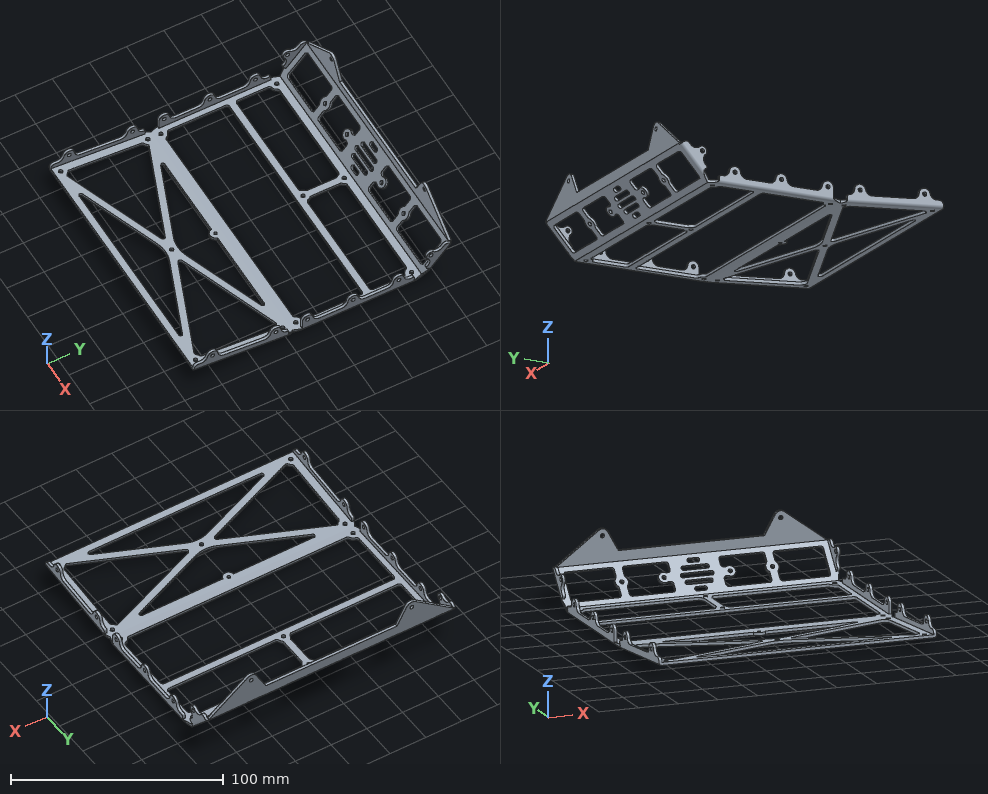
import cadquery as cq
import math

width = 140.0
depth = 139.2
height = 34.2
sheet = 1.5
plate_half = width / 2 - sheet

ramp_run = 14.4
ramp_rise = 16.1
floor_length = 69.3
front_angle = math.radians(5)
ramp_angle = math.atan2(ramp_rise, ramp_run)
ramp_length = math.hypot(ramp_run, ramp_rise)
back_y = ramp_run + sheet
front_y = back_y - depth
front_top_y = front_y + sheet * math.sin(front_angle)
front_length = (-floor_length - front_top_y) / math.cos(front_angle)

hole_dia = 2.0
boss_radius = 3.4
hole_x = 65.1
hole_inset = 3.5
window_x = 65.4
rib_half = 2.0
corner_radius = 1.4

floor_border = 4.2
cross_rib_s = 25.6 + rib_half

front_border = 3.9
front_window_x = 64.1
strut_crossing_radius = 16.8
strut_tip_radius = 1.0
strut_meeting_radius = 1.19
edge_hole_inset = 3.4
edge_hole_dia = 1.5
edge_boss_radius = 3.1

ramp_border = 2.8
ramp_post_x = 38.0
ramp_post_half = 2.1
ramp_lug_x = 16.7
ramp_lug_radius = 2.8
ramp_lug_neck_half = 2.4
grille_plate_half = 12.7
slot_pitch = 3.8
slot_width = 2.2
slot_half_lengths = {0: 8.4, 1: 7.0, 2: 3.1}

upright_edge_z = 22.8
upright_tab_x = 45.0
upright_tab_radius = 3.4
upright_notch_x = 36.7

flange_height = 2.5
lug_blend = 3.4
flange_start_radius = 0.8
flange_end_radius = 2.2
lug_radius = 3.0
lug_hole_height = 5.0
ramp_side_lug_radius = 2.4
ramp_side_lug_height = 5.6
lug_pitch = 24.5
floor_lugs = [13.0 + step * lug_pitch for step in range(3)]
ramp_lugs = [12.6]
front_lugs = [10.2, 44.4]
floor_flange_start = 4.8
ramp_flange_start = 4.9
front_flange_start = 3.1


def bend_plane(y, z, x_sign, normal):
    """Panel frame: x across, y along the panel away from its bend line, z out of the inner face."""
    return cq.Plane(origin=(0, y, z), xDir=(x_sign, 0, 0), normal=normal)


floor_plane = bend_plane(0, sheet, -1, (0, 0, 1))
ramp_plane = bend_plane(0, sheet, 1, (0, -math.sin(ramp_angle), math.cos(ramp_angle)))
front_plane = bend_plane(
    -floor_length, sheet, -1, (0, math.sin(front_angle), math.cos(front_angle))
)


def placed(body, plane):
    return cq.Workplane(body.val().moved(plane.location))


def through(sketch):
    """Cutter from a closed outline on a panel, deep enough to pass the sheet."""
    return sketch.extrude(sheet, both=True).translate((0, 0, -sheet / 2))


def flat():
    return cq.Workplane("XY")


def discs(points, radius):
    return through(flat().pushPoints(points).circle(radius))


def block(x0, x1, s0, s1):
    return through(flat().center((x0 + x1) / 2, (s0 + s1) / 2).rect(x1 - x0, s1 - s0))


def both_sides(body):
    return body.union(body.mirror("YZ"))


def corner_holes(length):
    return [(x, s) for x in (-hole_x, hole_x) for s in (hole_inset, length - hole_inset)]


def bent_sheet():
    ramp_top_z = sheet + ramp_rise
    floor_back_outer = sheet * math.tan(ramp_angle / 2)
    floor_front_outer = -floor_length - sheet * math.tan(front_angle / 2)
    upright_outer_z = ramp_top_z - sheet * math.tan((math.pi / 2 - ramp_angle) / 2)
    front_top_z = sheet + front_length * math.sin(front_angle)
    profile = [
        (back_y, height),
        (ramp_run, height),
        (ramp_run, ramp_top_z),
        (0, sheet),
        (-floor_length, sheet),
        (front_top_y, front_top_z),
        (front_y, front_top_z - sheet * math.cos(front_angle)),
        (floor_front_outer, 0),
        (floor_back_outer, 0),
        (back_y, upright_outer_z),
    ]
    return cq.Workplane("YZ").polyline(profile).close().extrude(plate_half, both=True)


def tangent_point(point, centre, radius, side):
    """Point where a line from an outside point touches a circle, on the chosen side."""
    dx = point[0] - centre[0]
    dz = point[1] - centre[1]
    angle = math.atan2(dz, dx) + side * math.acos(radius / math.hypot(dx, dz))
    return (centre[0] + radius * math.cos(angle), centre[1] + radius * math.sin(angle))


def upright_waste():
    """Material above the upright's outline: a low middle edge between two rounded tabs."""
    tab = (upright_tab_x, height - upright_tab_radius)
    notch = (upright_notch_x, upright_edge_z)
    foot = (plate_half, sheet + ramp_rise)
    inner = tangent_point(notch, tab, upright_tab_radius, -1)
    outer = tangent_point(foot, tab, upright_tab_radius, 1)
    clear = height + sheet
    sheet_plane = cq.Workplane("XZ", origin=(0, back_y, 0))
    waste = (
        sheet_plane.moveTo(0, upright_edge_z)
        .lineTo(*notch)
        .lineTo(*inner)
        .threePointArc((tab[0], height), outer)
        .lineTo(*foot)
        .lineTo(plate_half, clear)
        .lineTo(0, clear)
        .close()
        .extrude(sheet)
    )
    hole = sheet_plane.center(*tab).circle(hole_dia / 2).extrude(sheet)
    return both_sides(waste.union(hole))


def floor_cuts():
    """Two windows behind the cross rib, one before it, and bosses that round into them."""
    corners = corner_holes(floor_length)
    holes = corners + [(0, hole_inset), (0, cross_rib_s - rib_half)]
    bosses = discs(holes, boss_radius)
    back_window = block(rib_half, window_x, floor_border, cross_rib_s - rib_half)
    back_window = back_window.cut(bosses).edges("|Z").fillet(corner_radius)
    front_window = block(-window_x, window_x, cross_rib_s + rib_half, floor_length - floor_border)
    front_window = front_window.cut(discs(corners, boss_radius)).edges("|Z").fillet(corner_radius)
    return both_sides(back_window).union(front_window).union(discs(holes, hole_dia / 2))


def front_cuts():
    """Four windows around two crossing struts, with bosses at the corner and back-edge holes."""
    middle = front_length / 2
    corners = corner_holes(front_length)
    edge_hole = (0, edge_hole_inset)
    slope = middle / plate_half
    strut_half = rib_half * math.hypot(1, slope)

    side_tip = strut_half / slope
    side_reach = slope * front_window_x - strut_half
    side_outline = [
        (side_tip, middle),
        (front_window_x, middle + side_reach),
        (front_window_x, middle - side_reach),
    ]
    side = through(flat().polyline(side_outline).close())
    side = side.cut(discs(corners, boss_radius)).edges("|Z").fillet(strut_meeting_radius)

    end_reach = middle - front_border
    end_tip = (end_reach - strut_half) / slope
    end_outline = [
        (-end_tip, middle + end_reach),
        (end_tip, middle + end_reach),
        (0, middle + strut_half),
    ]
    end = through(flat().polyline(end_outline).close())
    end = end.edges("|Z and (<X or >X)").fillet(strut_tip_radius)
    end = end.edges("|Z and <Y").fillet(strut_crossing_radius)
    back_end = end.mirror("XZ", (0, middle, 0)).cut(discs([edge_hole], edge_boss_radius))
    holes = discs(corners + [(0, middle)], hole_dia / 2).union(discs([edge_hole], edge_hole_dia / 2))
    return both_sides(side).union(end).union(back_end).union(holes)


def ramp_cuts():
    """Four windows beside two bossed posts, a lug each side of the middle plate, and its grille."""
    middle = ramp_length / 2
    low = ramp_border
    high = ramp_length - ramp_border
    post = (ramp_post_x, middle)
    lug = (ramp_lug_x, middle)
    post_boss = discs([post], boss_radius)

    outer = block(ramp_post_x + ramp_post_half, window_x, low, high)
    outer = outer.cut(post_boss).edges("|Z").fillet(corner_radius)

    neck = block(
        grille_plate_half, ramp_lug_x, middle - ramp_lug_neck_half, middle + ramp_lug_neck_half
    )
    inner = block(grille_plate_half, ramp_post_x - ramp_post_half, low, high)
    inner = inner.cut(post_boss).cut(discs([lug], ramp_lug_radius)).cut(neck)
    inner = inner.edges("|Z").fillet(corner_radius)

    cuts = both_sides(outer.union(inner).union(discs([post, lug], hole_dia / 2)))
    for step in range(-2, 3):
        slot = flat().center(0, middle + step * slot_pitch)
        cuts = cuts.union(through(slot.slot2D(2 * slot_half_lengths[abs(step)], slot_width)))
    return cuts


def add_lug(path, s, radius, hole_height, last):
    """Continue a flange outline over a rounded lug; a last lug drops straight to the bend."""
    blend_centre_h = flange_height + lug_blend
    rise = blend_centre_h - hole_height
    reach = math.sqrt((radius + lug_blend) ** 2 - rise**2)
    share = radius / (radius + lug_blend)
    meet_x = reach * share
    meet_h = hole_height + rise * share
    top = (s, hole_height + radius)

    path = path.lineTo(s - reach, flange_height).radiusArc((s - meet_x, meet_h), -lug_blend)
    if last:
        return path.threePointArc(top, (s + radius, hole_height)).lineTo(s + radius, 0)
    path = path.threePointArc(top, (s + meet_x, meet_h))
    return path.radiusArc((s + reach, flange_height), -lug_blend)


def flange(
    length, start, lugs, radius=lug_radius, hole_height=lug_hole_height, ends_at_lug=False
):
    """Upturned flange on both edges of a panel; its bend tapers off towards neighbouring bends."""
    path = cq.Workplane("YZ", origin=(plate_half, 0, 0)).moveTo(0, -sheet).lineTo(0, 0)
    path = (
        path.lineTo(start, 0)
        .lineTo(start, flange_height - flange_start_radius)
        .radiusArc((start + flange_start_radius, flange_height), flange_start_radius)
    )
    for s in lugs:
        path = add_lug(path, s, radius, hole_height, ends_at_lug and s == lugs[-1])
    if ends_at_lug:
        end = lugs[-1] + radius
        path = path.lineTo(length, 0)
    else:
        end = length
        path = (
            path.lineTo(end - flange_end_radius, flange_height)
            .radiusArc((end, flange_height - flange_end_radius), flange_end_radius)
            .lineTo(end, 0)
        )
    body = path.lineTo(length, -sheet).close().extrude(sheet)

    top = hole_height + radius
    outer_x = plate_half + sheet
    rounded_bend = (
        cq.Workplane("XZ")
        .moveTo(plate_half, -sheet)
        .radiusArc((outer_x, 0), -sheet)
        .lineTo(outer_x, top)
        .lineTo(plate_half, top)
        .close()
        .extrude(-length)
    )
    outline = [(plate_half, 0), (outer_x, start), (outer_x, end), (plate_half, length)]
    tapered = flat().workplane(offset=-sheet).polyline(outline).close().extrude(sheet + top)
    body = body.intersect(rounded_bend).intersect(tapered)

    holes = (
        cq.Workplane("YZ", origin=(plate_half, 0, 0))
        .pushPoints([(s, hole_height) for s in lugs])
        .circle(hole_dia / 2)
        .extrude(sheet)
    )
    return both_sides(body.cut(holes))


floor_flange = flange(floor_length, floor_flange_start, floor_lugs, ends_at_lug=True)
ramp_flange = flange(
    ramp_length, ramp_flange_start, ramp_lugs, ramp_side_lug_radius, ramp_side_lug_height
)
front_flange = flange(front_length, front_flange_start, front_lugs)

result = bent_sheet().cut(upright_waste())
for plane, side_flange, cuts in (
    (floor_plane, floor_flange, floor_cuts()),
    (ramp_plane, ramp_flange, ramp_cuts()),
    (front_plane, front_flange, front_cuts()),
):
    result = result.union(placed(side_flange, plane)).cut(placed(cuts, plane))